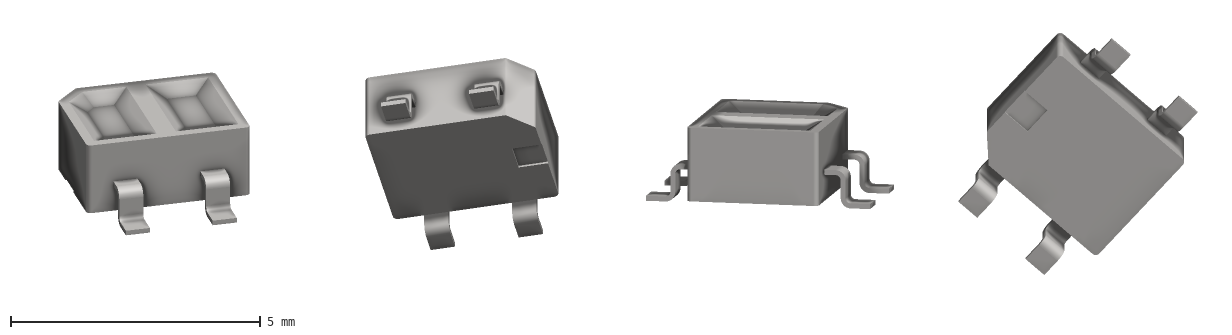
import cadquery as cq
import math

span_x = 4.6
body_x = 2.7
body_y = 3.4
overall_z = 1.62

body_bottom = 0.12
corner_chamfer = 0.5
corner_radius = 0.095

rim = 0.2
divider = 0.4
pocket_depth = 0.202
wall_run = 0.35
pocket_x = body_x - 2 * rim
pocket_y = (body_y - 2 * rim - divider) / 2
pocket_pitch = pocket_y + divider
wall_taper = math.degrees(math.atan(wall_run / pocket_depth))
pocket_chamfer = corner_chamfer - rim * (2 - math.sqrt(2))

lead_thickness = 0.1
lead_width = 0.5
lead_pitch = 1.81
lead_top = 0.77
foot_length = 0.4
inner_bend = 0.1
outer_bend = inner_bend + lead_thickness

notch_width = 0.603
notch_height = 0.045
notch_depth = 0.603


def block_with_cut_corner(size_x, size_y, height, chamfer, taper=0):
    """Block rising from XY whose (-X, -Y) vertical edge is chamfered."""
    left, right = -size_x / 2, size_x / 2
    front, back = -size_y / 2, size_y / 2
    outline = [
        (left + chamfer, front),
        (right, front),
        (right, back),
        (left, back),
        (left, front + chamfer),
    ]
    return cq.Workplane("XY").polyline(outline).close().extrude(height, taper=taper)


def make_body():
    body = block_with_cut_corner(body_x, body_y, overall_z - body_bottom, corner_chamfer)
    body = body.edges("|Z and (>X or >Y or <Y)").fillet(corner_radius)
    return body.translate((0, 0, body_bottom))


def place_pocket(pocket, center_y):
    """Turn a block upside down, keeping its X and Y, and sink it into the top face."""
    return pocket.mirror("XY").translate((0, center_y, overall_z))


def make_pockets():
    plain = cq.Workplane("XY").rect(pocket_x, pocket_y).extrude(pocket_depth, taper=wall_taper)
    cut_corner = block_with_cut_corner(pocket_x, pocket_y, pocket_depth, pocket_chamfer, wall_taper)
    back_pocket = place_pocket(plain, pocket_pitch / 2)
    front_pocket = place_pocket(cut_corner, -pocket_pitch / 2)
    return back_pocket.union(front_pocket)


def make_lead_pair(center_y):
    """Two mirrored leads, each following an S-bend from its foot into the body."""
    tip = -span_x / 2
    foot_end = tip + foot_length
    outer_face = foot_end + inner_bend
    inner_face = outer_face + lead_thickness
    shoulder = outer_face + outer_bend
    root = -body_x / 2 + rim
    lower_center = outer_bend
    upper_center = lead_top - outer_bend
    lead = (
        cq.Workplane("XZ", origin=(0, center_y, 0))
        .moveTo(tip, 0)
        .lineTo(foot_end, 0)
        .radiusArc((inner_face, lower_center), -outer_bend)
        .lineTo(inner_face, upper_center)
        .radiusArc((shoulder, lead_top - lead_thickness), inner_bend)
        .lineTo(root, lead_top - lead_thickness)
        .lineTo(root, lead_top)
        .lineTo(shoulder, lead_top)
        .radiusArc((outer_face, upper_center), -outer_bend)
        .lineTo(outer_face, lower_center)
        .radiusArc((foot_end, lead_thickness), inner_bend)
        .lineTo(tip, lead_thickness)
        .close()
        .extrude(lead_width / 2, both=True)
    )
    return lead.union(lead.mirror("YZ"))


def make_notch():
    notch = cq.Workplane("XY").box(notch_width, notch_depth, notch_height, centered=(True, False, False))
    return notch.translate((0, -body_y / 2, body_bottom))


result = make_body().cut(make_pockets()).cut(make_notch())
for side in (-1, 1):
    result = result.union(make_lead_pair(side * lead_pitch / 2))